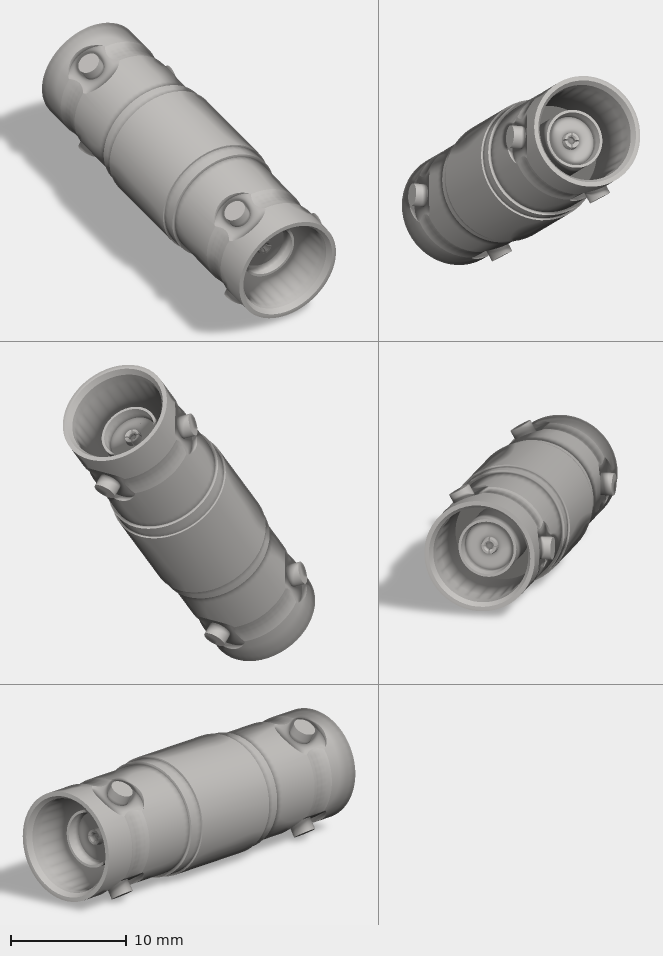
import cadquery as cq

length = 32.8
overall_width = 10.85
half_length = length / 2

barrel_radius = 4.9
collar_radius = 5.15
collar_half_length = 5.7
sleeve_diameter = 10.65
sleeve_radius = sleeve_diameter / 2
sleeve_half_length = 4.43

mouth_radius = 4.5
lead_in_depth = 0.5
bore_radius = 4.2
bore_floor_radius = 4.05
bore_depth = 8.53

nose_radius = 2.55
nose_setback = 3.1
recess_radius = 2.33
recess_floor_radius = 2.15
recess_depth = 1.1

contact_radius = 1.55
tip_base_radius = 0.75
tip_end_radius = 0.65
tip_length = 0.5
countersink_radius = 0.45
countersink_depth = 0.13
socket_radius = 0.33
slot_width = 0.1
slot_angles = (0, 90)

peg_setback = 4.25
peg_radius = 1.0
peg_tip_height = overall_width - sleeve_radius
flat_radius = 2.43
flat_height = 4.43
groove_half_width = 1.15
groove_depth = 0.148
peg_angles = (0, 120, 240)

recess_floor_x = half_length - nose_setback - recess_depth
peg_centre_x = half_length - peg_setback
axis_start = (0, 0, 0)
axis_end = (1, 0, 0)


def revolve_about_x(profile):
    return profile.close().revolve(360, axis_start, axis_end)


def mirrored_pair(shape):
    """The +X shape together with its mirror image at the -X end."""
    return [shape, shape.mirror("YZ")]


def outer_blank():
    return revolve_about_x(
        cq.Workplane("XY")
        .moveTo(-half_length, 0)
        .lineTo(-half_length, barrel_radius)
        .lineTo(-collar_half_length, barrel_radius)
        .lineTo(-collar_half_length, collar_radius)
        .lineTo(-sleeve_half_length, collar_radius)
        .lineTo(-sleeve_half_length, sleeve_radius)
        .lineTo(sleeve_half_length, sleeve_radius)
        .lineTo(sleeve_half_length, collar_radius)
        .lineTo(collar_half_length, collar_radius)
        .lineTo(collar_half_length, barrel_radius)
        .lineTo(half_length, barrel_radius)
        .lineTo(half_length, 0)
    )


def socket_bore():
    """Space removed from the +X end, leaving the nose and its recess."""
    bore_floor_x = half_length - bore_depth
    nose_x = half_length - nose_setback
    return revolve_about_x(
        cq.Workplane("XY")
        .moveTo(half_length, 0)
        .lineTo(half_length, mouth_radius)
        .lineTo(half_length - lead_in_depth, bore_radius)
        .lineTo(bore_floor_x, bore_floor_radius)
        .lineTo(bore_floor_x, nose_radius)
        .lineTo(nose_x, nose_radius)
        .lineTo(nose_x, recess_radius)
        .lineTo(recess_floor_x, recess_floor_radius)
        .lineTo(recess_floor_x, 0)
    )


def groove_ring():
    """Shallow arc-bottomed groove around the +X barrel."""
    return revolve_about_x(
        cq.Workplane("XY")
        .moveTo(peg_centre_x - groove_half_width, barrel_radius)
        .threePointArc(
            (peg_centre_x, barrel_radius - groove_depth),
            (peg_centre_x + groove_half_width, barrel_radius),
        )
    )


def radial_cylinder(radius, start_height, end_height, angle):
    """Cylinder pointing away from the X axis at the +X peg position, turned from +Y."""
    cylinder = cq.Solid.makeCylinder(
        radius,
        end_height - start_height,
        cq.Vector(peg_centre_x, start_height, 0),
        cq.Vector(0, 1, 0),
    )
    return cq.Workplane(cylinder.rotate(axis_start, axis_end, angle))


def make_housing():
    housing = outer_blank()
    cuts = [socket_bore(), groove_ring()]
    pegs = []
    for angle in peg_angles:
        cuts.append(radial_cylinder(flat_radius, flat_height, sleeve_radius, angle))
        pegs.append(radial_cylinder(peg_radius, flat_height, peg_tip_height, angle))
    for cut in cuts:
        for end_cut in mirrored_pair(cut):
            housing = housing.cut(end_cut)
    for peg in pegs:
        for end_peg in mirrored_pair(peg):
            housing = housing.union(end_peg)
    contact_hole = cq.Workplane("YZ").circle(contact_radius).extrude(half_length, both=True)
    return housing.cut(contact_hole)


def contact_tip():
    """Tapered tube with a countersunk mouth at the +X end, split by crossed slots."""
    tip_end_x = recess_floor_x + tip_length
    tip = revolve_about_x(
        cq.Workplane("XY")
        .moveTo(recess_floor_x, socket_radius)
        .lineTo(recess_floor_x, tip_base_radius)
        .lineTo(tip_end_x, tip_end_radius)
        .lineTo(tip_end_x, countersink_radius)
        .lineTo(tip_end_x - countersink_depth, socket_radius)
    )
    for angle in slot_angles:
        slot = (
            cq.Workplane("XY")
            .box(tip_length, 2 * tip_base_radius, slot_width)
            .translate((recess_floor_x + tip_length / 2, 0, 0))
            .rotate(axis_start, axis_end, angle)
        )
        tip = tip.cut(slot)
    return tip


def make_contact():
    contact = cq.Workplane("YZ").circle(contact_radius).extrude(recess_floor_x, both=True)
    for tip in mirrored_pair(contact_tip()):
        contact = contact.union(tip)
    return contact


housing = make_housing()
contact = make_contact()
result = cq.Compound.makeCompound([housing.val(), contact.val()])